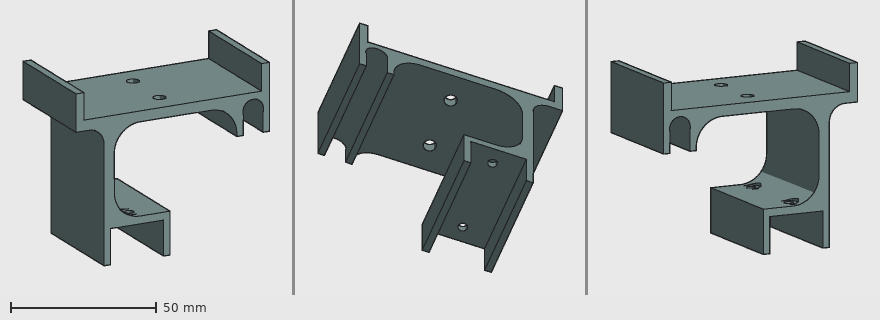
import cadquery as cq
import math

width = 40.0
length = 75.0
height = 64.1

plate_thickness = 4.0
rim_thickness = 3.1
rim_height = 10.0

clip_leg = 2.5
clip_slot_width = 7.7
clip_bore_diameter = 8.0
clip_depth = 25.05
bore_top_depth = 12.45

web_thickness = 4.0
web_inset = 10.9
channel_leg = 2.55
channel_gap = 20.5
channel_depth = 13.1
shelf_thickness = 2.85

inner_fillet = 10.0
outer_fillet = 6.0

plate_hole_diameter = 4.5
plate_hole_spacing = 20.0
shelf_hole_diameter = 3.2
shelf_hole_spacing = 28.5
screw_head_diameter = 6.75

y_back = length / 2
y_front = -length / 2
plate_top = height - rim_height
plate_bottom = plate_top - plate_thickness
clip_bottom = height - clip_depth
bore_radius = clip_bore_diameter / 2
slot_back = y_back - clip_leg
slot_front = slot_back - clip_slot_width
slot_middle = (slot_back + slot_front) / 2
bore_crown = height - bore_top_depth
bore_center = bore_crown - bore_radius
bore_mouth = bore_center - math.sqrt(bore_radius**2 - (clip_slot_width / 2) ** 2)
clip_front = slot_front - clip_leg
web_outer = y_front + web_inset
web_inner = web_outer + web_thickness
channel_front = web_outer + channel_leg
channel_back = channel_front + channel_gap
shelf_back = channel_back + channel_leg
shelf_top = channel_depth + shelf_thickness
head_room_top = shelf_top + inner_fillet
shelf_hole_y = (channel_front + channel_back) / 2


def make_profile():
    """Extrude the constant cross-section, with square inside corners."""
    return (
        cq.Workplane("YZ")
        .moveTo(y_back, height)
        .lineTo(y_back - rim_thickness, height)
        .lineTo(y_back - rim_thickness, plate_top)
        .lineTo(y_front + rim_thickness, plate_top)
        .lineTo(y_front + rim_thickness, height)
        .lineTo(y_front, height)
        .lineTo(y_front, plate_bottom)
        .lineTo(web_outer, plate_bottom)
        .lineTo(web_outer, 0)
        .lineTo(channel_front, 0)
        .lineTo(channel_front, channel_depth)
        .lineTo(channel_back, channel_depth)
        .lineTo(channel_back, 0)
        .lineTo(shelf_back, 0)
        .lineTo(shelf_back, shelf_top)
        .lineTo(web_inner, shelf_top)
        .lineTo(web_inner, plate_bottom)
        .lineTo(clip_front, plate_bottom)
        .lineTo(clip_front, clip_bottom)
        .lineTo(slot_front, clip_bottom)
        .lineTo(slot_front, bore_mouth)
        .threePointArc((slot_middle, bore_crown), (slot_back, bore_mouth))
        .lineTo(slot_back, clip_bottom)
        .lineTo(y_back, clip_bottom)
        .close()
        .extrude(width / 2, both=True)
    )


def round_corner(body, y, z, radius):
    """Fillet the edge along X that passes through (y, z)."""
    edge = cq.selectors.NearestToPointSelector((0, y, z))
    return body.edges(edge).fillet(radius)


def vertical_pair(spacing, y, z_bottom, z_top, diameter):
    """Two upright cylinders, placed evenly about the middle of the width."""
    return (
        cq.Workplane("XY", origin=(0, y, z_bottom))
        .pushPoints([(-spacing / 2, 0), (spacing / 2, 0)])
        .circle(diameter / 2)
        .extrude(z_top - z_bottom)
    )


body = make_profile()
for corner_y, corner_z in [
    (clip_front, plate_bottom),
    (web_inner, plate_bottom),
    (web_inner, shelf_top),
]:
    body = round_corner(body, corner_y, corner_z, inner_fillet)
body = round_corner(body, web_outer, plate_bottom, outer_fillet)

body = body.cut(vertical_pair(plate_hole_spacing, 0, plate_bottom, plate_top, plate_hole_diameter))

body = body.cut(vertical_pair(shelf_hole_spacing, shelf_hole_y, channel_depth, head_room_top, shelf_hole_diameter))
body = body.cut(vertical_pair(shelf_hole_spacing, shelf_hole_y, shelf_top, head_room_top, screw_head_diameter))

result = body